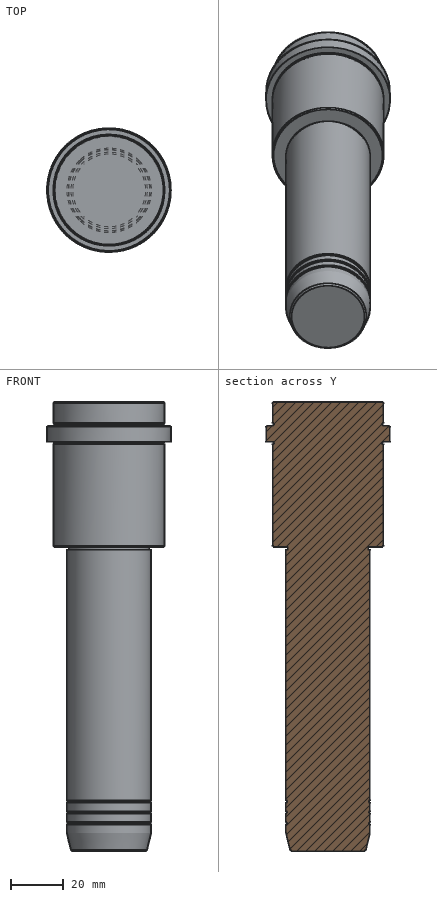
import cadquery as cq

total_length = 170.0
collar_radius = 23.5
body_radius = 21.0
shank_radius = 16.0

body_bottom = total_length - 54.9
collar_bottom = total_length - 15.1
collar_top = total_length - 9.0
nose_height = 7.0

edge_break = 0.5
relief_depth = 0.7
relief_width = 1.0

nose_radius = 14.5
tip_break = 0.7

groove_count = 3
lowest_groove = 10.7
groove_pitch = 4.0
groove_width = 1.0
groove_depth = 0.5


def stepped_cylinder(radius, bottom, top):
    """Solid cylinder on the Z axis between two heights."""
    return cq.Workplane("XY").workplane(offset=bottom).circle(radius).extrude(top - bottom)


def ring_cut(radius, depth, bottom, width):
    """Ring of material to remove from the surface of a cylinder."""
    outer = stepped_cylinder(radius, bottom, bottom + width)
    return outer.cut(stepped_cylinder(radius - depth, bottom, bottom + width))


def vee_cut(radius, depth, bottom, width):
    """Ring with a V-shaped section to remove from the surface of a cylinder."""
    return (
        cq.Workplane("XZ")
        .moveTo(radius, bottom)
        .lineTo(radius - depth, bottom + width / 2)
        .lineTo(radius, bottom + width)
        .close()
        .revolve(360, (0, 0, 0), (0, 1, 0))
    )


def make_shank():
    """Shank with the tapered nose at its lower end."""
    return (
        cq.Workplane("XZ")
        .moveTo(0, 0)
        .lineTo(nose_radius - tip_break, 0)
        .lineTo(nose_radius, tip_break)
        .lineTo(shank_radius, nose_height)
        .lineTo(shank_radius, body_bottom)
        .lineTo(0, body_bottom)
        .close()
        .revolve(360, (0, 0, 0), (0, 1, 0))
    )


body = stepped_cylinder(body_radius, body_bottom, total_length).faces("<Z or >Z").chamfer(edge_break)
collar = stepped_cylinder(collar_radius, collar_bottom, collar_top).faces(">Z").chamfer(edge_break)

body = body.cut(vee_cut(body_radius, relief_depth, collar_top, relief_width))
body = body.cut(vee_cut(body_radius, relief_depth, collar_bottom - relief_width, relief_width))
shank = make_shank().cut(
    ring_cut(shank_radius, relief_depth, body_bottom - relief_width, relief_width)
)

for index in range(groove_count):
    groove_bottom = lowest_groove + index * groove_pitch - groove_width / 2
    shank = shank.cut(vee_cut(shank_radius, groove_depth, groove_bottom, groove_width))

result = shank.union(body).union(collar)